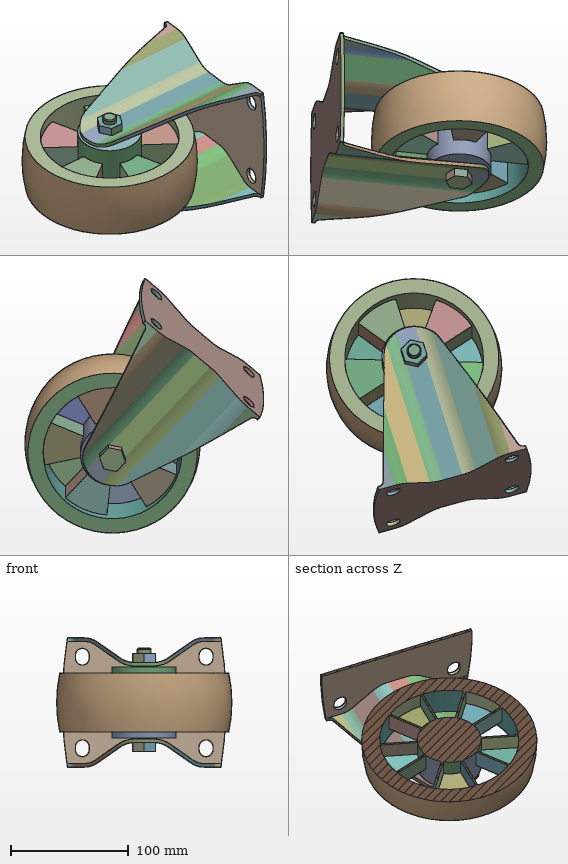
import cadquery as cq
import math


TREAD_RADIUS = 74.5
TREAD_EDGE_RADIUS = 71.9
TYRE_HALF_WIDTH = 25.0
RIM_BORE = 117.7
HUB_DIAMETER = 54.5
HUB_HALF_LENGTH = 30.1
WEB_HALF_WIDTH = 16.0
WEB_WALL = 2.3
POCKETS_PER_SIDE = 5

SHEET = 3.0
FORK_HALF_HEIGHT = 55.0
WAIST_HALF_HEIGHT = 34.1
WAIST_HALF_WIDTH = 8.7
BEND_RADIUS = 20.1
BEND_ANGLE = math.radians(35)
PLATE_BACK = 115.0
PLATE_FRONT = PLATE_BACK - SHEET
PLATE_HALF_WIDTH = 69.5
PLATE_END_HALF_WIDTH = 65.2
PLATE_CORNER = 1.5
LEG_TIP_RADIUS = 25.4
LEG_TAPER = math.radians(17)
LEG_ROOT_FILLET = 4.5

SLOT_SPACING_X = 105.0
SLOT_SPACING_Z = 77.7
SLOT_LENGTH = 14.0
SLOT_WIDTH = 11.5

BOLT_DIAMETER = 12.0
BOLT_TIP = 46.0
BOLT_CHAMFER = 1.0
HEX_ACROSS_FLATS = 19.5
HEX_HEIGHT = 7.5
SPACER_DIAMETER = 20.0


def make_wheel():
    """Crowned tyre, hub and a web folded into alternating pockets."""
    tyre = (
        cq.Workplane("XZ")
        .moveTo(0, -TYRE_HALF_WIDTH)
        .lineTo(TREAD_EDGE_RADIUS, -TYRE_HALF_WIDTH)
        .threePointArc((TREAD_RADIUS, 0), (TREAD_EDGE_RADIUS, TYRE_HALF_WIDTH))
        .lineTo(0, TYRE_HALF_WIDTH)
        .close()
        .revolve(360, (0, 0, 0), (0, 1, 0))
    )
    bore = disc(RIM_BORE, -TYRE_HALF_WIDTH, TYRE_HALF_WIDTH)
    web = disc(RIM_BORE, -WEB_HALF_WIDTH, WEB_HALF_WIDTH)
    hub = disc(HUB_DIAMETER, -HUB_HALF_LENGTH, HUB_HALF_LENGTH)

    pitch = 360 / POCKETS_PER_SIDE
    upper = make_pocket()
    lower = upper.mirror("XY").rotate((0, 0, 0), (0, 0, 1), pitch / 2)
    for i in range(POCKETS_PER_SIDE):
        for pocket in (upper, lower):
            web = web.cut(pocket.rotate((0, 0, 0), (0, 0, 1), i * pitch))
    return tyre.cut(bore).union(web).union(hub)


def disc(diameter, bottom, top):
    """Cylinder on the axle between two heights."""
    return cq.Workplane("XY").workplane(offset=bottom).circle(diameter / 2).extrude(top - bottom)


def make_pocket():
    """Upper web pocket toward -X: a wedge held half a wall off the radial lines."""
    half_angle = math.pi / (2 * POCKETS_PER_SIDE)
    apex_x = -WEB_WALL / 2 / math.sin(half_angle)
    half_mouth = RIM_BORE * math.tan(half_angle)
    floor = WEB_WALL - WEB_HALF_WIDTH
    depth = WEB_HALF_WIDTH - floor
    wedge = (
        cq.Workplane("XY")
        .workplane(offset=floor)
        .polyline([
            (apex_x, 0),
            (apex_x - RIM_BORE, half_mouth),
            (apex_x - RIM_BORE, -half_mouth),
        ])
        .close()
        .extrude(depth)
    )
    return wedge.intersect(disc(RIM_BORE, floor, WEB_HALF_WIDTH))


def trace_bends(sketch, depth, x_end, start_side):
    """Draw one face of the bent leg section from x = start_side * x_end to the other end.

    depth is the distance of that face below the outer face of the sheet.
    """
    sin, cos = math.sin(BEND_ANGLE), math.cos(BEND_ANGLE)
    rise = FORK_HALF_HEIGHT - WAIST_HALF_HEIGHT
    ramp_length = (rise - 2 * BEND_RADIUS * (1 - cos)) / sin
    crest_x = WAIST_HALF_WIDTH + 2 * BEND_RADIUS * sin + ramp_length * cos

    def on_crest(angle):
        radius = BEND_RADIUS - depth
        z_centre = FORK_HALF_HEIGHT - BEND_RADIUS
        return crest_x - radius * math.sin(angle), z_centre + radius * math.cos(angle)

    def on_waist(angle):
        radius = BEND_RADIUS + depth
        z_centre = WAIST_HALF_HEIGHT + BEND_RADIUS
        return WAIST_HALF_WIDTH + radius * math.sin(angle), z_centre - radius * math.cos(angle)

    def placed(point, side):
        return side * point[0], point[1]

    near, far = start_side, -start_side
    bend, half_bend = BEND_ANGLE, BEND_ANGLE / 2
    return (
        sketch
        .lineTo(*placed(on_crest(0), near))
        .threePointArc(placed(on_crest(half_bend), near), placed(on_crest(bend), near))
        .lineTo(*placed(on_waist(bend), near))
        .threePointArc(placed(on_waist(half_bend), near), placed(on_waist(0), near))
        .lineTo(*placed(on_waist(0), far))
        .threePointArc(placed(on_waist(half_bend), far), placed(on_waist(bend), far))
        .lineTo(*placed(on_crest(bend), far))
        .threePointArc(placed(on_crest(half_bend), far), placed(on_crest(0), far))
        .lineTo(far * x_end, FORK_HALF_HEIGHT - depth)
    )


def make_plate():
    """Mounting plate with the bent section as top and bottom edge and bowed sides."""
    x_end = PLATE_END_HALF_WIDTH
    start = cq.Workplane("XZ", origin=(0, PLATE_BACK, 0)).moveTo(-x_end, FORK_HALF_HEIGHT)
    upper_half = (
        trace_bends(start, 0, x_end, -1)
        .threePointArc(bowed_side_middle(), (PLATE_HALF_WIDTH, 0))
        .lineTo(-PLATE_HALF_WIDTH, 0)
        .threePointArc(bowed_side_middle(-1), (-x_end, FORK_HALF_HEIGHT))
        .close()
        .extrude(SHEET)
    )
    corner = cq.selectors.BoxSelector(
        (-PLATE_HALF_WIDTH, 0, FORK_HALF_HEIGHT - SHEET),
        (PLATE_HALF_WIDTH, PLATE_BACK + SHEET, FORK_HALF_HEIGHT + SHEET),
    )
    outer = upper_half.edges("|Y").edges(corner).edges("<X or >X").fillet(PLATE_CORNER)
    slots = (
        cq.Workplane("XZ", origin=(0, PLATE_BACK, 0))
        .rarray(SLOT_SPACING_X, SLOT_SPACING_Z, 2, 2)
        .slot2D(SLOT_LENGTH, SLOT_WIDTH, 90)
        .extrude(SHEET)
    )
    return outer.union(outer.mirror("XY")).cut(slots)


def bowed_side_middle(side=1):
    """Point halfway up the bowed plate side, on a circle centred at mid height."""
    bow = PLATE_HALF_WIDTH - PLATE_END_HALF_WIDTH
    radius = (FORK_HALF_HEIGHT**2 + bow**2) / (2 * bow)
    z = FORK_HALF_HEIGHT / 2
    return side * (PLATE_HALF_WIDTH - radius + math.sqrt(radius**2 - z**2)), z


def make_leg():
    """Upper leg: the bent section trimmed to a tapered outline with a round end."""
    x_end = PLATE_END_HALF_WIDTH
    section = cq.Workplane("XZ", origin=(0, PLATE_BACK, 0)).moveTo(-x_end, FORK_HALF_HEIGHT)
    section = trace_bends(section, 0, x_end, -1).lineTo(x_end, FORK_HALF_HEIGHT - SHEET)
    section = trace_bends(section, SHEET, x_end, 1).close()
    sheet = section.extrude(PLATE_BACK + LEG_TIP_RADIUS)

    sin, cos = math.sin(LEG_TAPER), math.cos(LEG_TAPER)
    tangent_x = LEG_TIP_RADIUS * cos
    tangent_y = -LEG_TIP_RADIUS * sin
    root_x = tangent_x + (PLATE_FRONT - tangent_y) * math.tan(LEG_TAPER)
    outline = (
        cq.Workplane("XY")
        .moveTo(-PLATE_HALF_WIDTH, PLATE_BACK)
        .lineTo(-PLATE_HALF_WIDTH, PLATE_FRONT)
        .lineTo(-root_x, PLATE_FRONT)
        .lineTo(-tangent_x, tangent_y)
        .threePointArc((0, -LEG_TIP_RADIUS), (tangent_x, tangent_y))
        .lineTo(root_x, PLATE_FRONT)
        .lineTo(PLATE_HALF_WIDTH, PLATE_FRONT)
        .lineTo(PLATE_HALF_WIDTH, PLATE_BACK)
        .close()
        .extrude(FORK_HALF_HEIGHT)
    )
    root = cq.selectors.BoxSelector(
        (-root_x - SHEET, PLATE_FRONT - SHEET / 2, 0),
        (root_x + SHEET, PLATE_FRONT + SHEET / 2, FORK_HALF_HEIGHT),
    )
    outline = outline.edges("|Z").edges(root).fillet(LEG_ROOT_FILLET)
    return sheet.intersect(outline)


def make_axle():
    """Bolt with a hexagon head below, a nut above and spacers beside the hub."""
    hex_end = WAIST_HALF_HEIGHT + HEX_HEIGHT
    bolt = disc(BOLT_DIAMETER, -hex_end, BOLT_TIP).faces(">Z").chamfer(BOLT_CHAMFER)
    inner_face = WAIST_HALF_HEIGHT - SHEET
    spacer = disc(SPACER_DIAMETER, -inner_face, inner_face)
    nut = (
        cq.Workplane("XY")
        .workplane(offset=WAIST_HALF_HEIGHT)
        .polygon(6, HEX_ACROSS_FLATS, circumscribed=True)
        .extrude(HEX_HEIGHT)
    )
    return bolt.union(spacer).union(nut).union(nut.mirror("XY"))


leg = make_leg()
fork = make_plate().union(leg).union(leg.mirror("XY"))
result = make_wheel().union(make_axle()).union(fork)